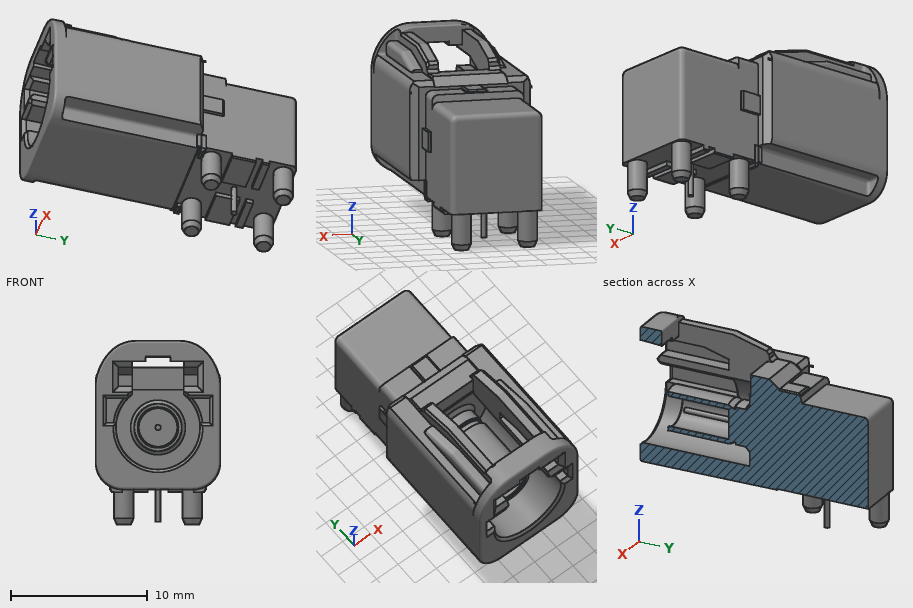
import cadquery as cq
import math


HALF_WIDTH = 9.13 / 2
LENGTH = 18.85
SHELL_LENGTH = 11.5
OVERLAP = 0.3
CLEAR = 1.0
PICK = 0.1

FLANGE_THICKNESS = 0.85
FLANGE_TOP = 6.35
FLANGE_TOP_HALF = 1.58
FLANGE_CORNER = 2.66
SHELL_SIDE_TOP = 3.33
BOTTOM = -4.55
BOTTOM_CORNER = 2.0
FRONT_EDGE = 0.2
CROSSBAR_DEPTH = 1.79
CROSSBAR_HALF = 2.77
CROSSBAR_EDGE = 0.12
FLANGE_REAR_FILLET = 0.25

PANEL_TOP = 4.2
PANEL_HALF = 4.25
PANEL_CORNER_MIDDLE = (4.47, 3.86)
PLATFORM_TOP = 4.39
PLATFORM_HALF = 2.77
PLATFORM_EDGE = 0.12
PLATFORM_SLOPE = (0.82, 0.65)
PANEL_CHAMFER = 0.4
SIDE_CHAMFER = (0.6, 0.4)
KEEL_HALF = 3.3
KEEL_TOP = -3.15
KEEL_REAR_BOTTOM = -4.45
KEEL_REAR_EDGE = 0.2

WINDOW_HALF = 1.9
RAIL_OUTER = 2.77
RAIL_TOP = 5.95
RAIL_SLOPE_START = 6.25
RAIL_REAR_TOP = (9.05, 5.2)
RAIL_REAR = 9.27
RAIL_REAR_EDGE = 4.95
RAIL_FOOT = 0.25
RAIL_EDGE = 0.18
RIB_OUTER = 3.6
RIB_TOP = 5.2
RIB_SLOPE_START = 4.83
RIB_END = 7.95
RIB_EDGE = 0.35

BORE_DIA = 6.15
BORE_MOUTH_DIA = 6.56
BORE_MOUTH_DEPTH = 0.2
BORE_DEPTH = 9.02
WINDOW_REAR = 9.12
WINDOW_LEDGE = 2.77
WINDOW_CEILING = 4.83
NOTCH_HALF = 0.9
NOTCH_TOP = 5.22
NOTCH_REAR_TOP = 5.12
LIP_DEPTH = 0.3
POCKET_HALF = 3.32
POCKET_FLOOR = 2.58
POCKET_INSET = 0.42
POCKET_DEPTH = 5.95
POCKET_END_TOP = 3.85
POCKET_SLOPE_START = 3.9
KEY_HALF = 4.0
KEY_BOTTOM = 0.12
KEY_TOP = 2.37
KEY_INSET = 0.22

TUBE_FRONT = 2.3
TUBE_DIA = 3.5
TUBE_SHOULDER = 7.29
GROOVE_DIA = 3.1
GROOVE_START = 7.74
GROOVE_END = 7.88
COLLAR_DIA = 3.4
FLARE_START = 8.71
FLARE_DIA = 4.0
LUMEN_DIA = 2.8
LUMEN_MOUTH_DIA = 3.0
LUMEN_DEPTH = 5.0
CONTACT_DIA = 0.4
CONTACT_LENGTH = 4.0

HOUSING_HALF = 3.47
HOUSING_TOP = 3.0
HOUSING_BOTTOM = -4.36
HOUSING_EDGE = 0.5
HOUSING_REAR_EDGE = 0.4
STEP_TOP = 3.52
STEP_REAR = 13.26
STEP_LEAN = 0.14
PAD_REAR = 13.2
PAD_EDGE = 0.12
TOP_PAD_HALF = 0.77
TOP_PAD_TOP = 3.73
SIDE_PAD_HALF = 3.7
SIDE_PAD_HEIGHT = 1.46

FOOT_BOTTOM = -4.72
FOOT_INNER = 0.74
FOOT_EDGE = 0.1
FOOT_SPANS = [(13.88, 15.7), (16.19, 16.72)]
CORNER_FOOT_INNER = 2.6
CORNER_FOOT_OUTER = 3.52
CORNER_FOOT_REAR = 11.87
CORNER_FOOT_EDGE = 0.2
PIN_DIA = 1.44
PIN_X = 2.5
PIN_ROWS = [12.55, 18.05]
PIN_BOTTOM = -7.1
PIN_TIP_CHAMFER = (0.45, 0.2)
SIGNAL_PIN_DIA = 0.4
SIGNAL_PIN_Y = 15.05
SIGNAL_PIN_BOTTOM = -6.9


def box(x0, x1, y0, y1, z0, z1):
    """Box between two opposite corners."""
    return cq.Workplane("XY").box(x1 - x0, y1 - y0, z1 - z0, centered=False).translate((x0, y0, z0))


def side_prism(points, x0, x1):
    """Closed polygon of (Y, Z) points, extruded from x0 to x1."""
    return cq.Workplane("YZ", origin=(x0, 0, 0)).polyline(points).close().extrude(x1 - x0)


def front_plane(y):
    """Plane facing -Y at the given Y, with local axes X and Z."""
    return cq.Workplane("XZ", origin=(0, y, 0))


def both_sides(body):
    """The body together with its mirror image about X = 0."""
    return body.union(body.mirror("YZ"))


def revolve_about_axis(points):
    """Closed polygon of (radius, Y) points, turned about the mating axis."""
    return cq.Workplane("XY").polyline(points).close().revolve(360, (0, 0, 0), (0, 1, 0))


def close_below(outline):
    """Close a right half outline: down the side, around the bottom corner and back along X = 0."""
    return (
        outline.lineTo(HALF_WIDTH, BOTTOM + BOTTOM_CORNER)
        .radiusArc((HALF_WIDTH - BOTTOM_CORNER, BOTTOM), BOTTOM_CORNER)
        .lineTo(0, BOTTOM).close()
    )


def make_flange():
    diagonal = math.sqrt(0.5)
    center_z = FLANGE_TOP - FLANGE_CORNER
    shoulder = (FLANGE_TOP_HALF + FLANGE_CORNER * diagonal, center_z + FLANGE_CORNER * diagonal)
    lower_radius = (HALF_WIDTH - shoulder[0]) / (1 - diagonal)
    side_top = shoulder[1] - lower_radius * diagonal
    outline = (
        front_plane(0).moveTo(0, FLANGE_TOP).lineTo(FLANGE_TOP_HALF, FLANGE_TOP)
        .radiusArc(shoulder, FLANGE_CORNER)
        .radiusArc((HALF_WIDTH, side_top), lower_radius)
    )
    full = both_sides(close_below(outline).extrude(-CROSSBAR_DEPTH))
    full = full.faces("<Y").edges().fillet(FRONT_EDGE)
    full = full.faces(">Y").edges().fillet(CROSSBAR_EDGE)
    beside_bar = box(
        CROSSBAR_HALF, HALF_WIDTH + CLEAR, FLANGE_THICKNESS, CROSSBAR_DEPTH + CLEAR,
        PANEL_TOP, FLANGE_TOP + CLEAR,
    )
    beside_bar = beside_bar.edges("<Y and (<X or <Z)").fillet(FLANGE_REAR_FILLET)
    below_bar = box(
        -HALF_WIDTH - CLEAR, HALF_WIDTH + CLEAR, FLANGE_THICKNESS, CROSSBAR_DEPTH + CLEAR,
        BOTTOM - CLEAR, PANEL_TOP,
    )
    return full.cut(both_sides(beside_bar)).cut(below_bar)


def make_shell():
    outline = (
        front_plane(FLANGE_THICKNESS).moveTo(0, PANEL_TOP).lineTo(PANEL_HALF, PANEL_TOP)
        .threePointArc(PANEL_CORNER_MIDDLE, (HALF_WIDTH, SHELL_SIDE_TOP))
    )
    shell = both_sides(close_below(outline).extrude(FLANGE_THICKNESS - SHELL_LENGTH))
    under_side = box(
        KEEL_HALF, HALF_WIDTH + CLEAR, FLANGE_THICKNESS, SHELL_LENGTH + CLEAR, BOTTOM - CLEAR, KEEL_TOP
    )
    under_side = under_side.edges("(<Y and (<X or >Z)) or (<X and >Z)").fillet(FLANGE_REAR_FILLET)
    under_keel = side_prism(
        [(FLANGE_THICKNESS, BOTTOM), (SHELL_LENGTH - KEEL_REAR_EDGE, KEEL_REAR_BOTTOM),
         (SHELL_LENGTH, KEEL_REAR_BOTTOM + KEEL_REAR_EDGE), (SHELL_LENGTH, BOTTOM)],
        -HALF_WIDTH, HALF_WIDTH,
    )
    shell = shell.cut(both_sides(under_side)).cut(under_keel)
    rear_side = (
        cq.Workplane("XY", origin=(0, 0, KEEL_TOP))
        .moveTo(HALF_WIDTH, SHELL_LENGTH - SIDE_CHAMFER[1])
        .lineTo(HALF_WIDTH - SIDE_CHAMFER[0], SHELL_LENGTH)
        .lineTo(HALF_WIDTH, SHELL_LENGTH).close().extrude(PANEL_TOP - KEEL_TOP)
    )
    rear_top = side_prism(
        [(SHELL_LENGTH - PANEL_CHAMFER, PANEL_TOP), (SHELL_LENGTH, PANEL_TOP - PANEL_CHAMFER),
         (SHELL_LENGTH, PANEL_TOP)],
        -HALF_WIDTH, HALF_WIDTH,
    )
    return shell.cut(both_sides(rear_side)).cut(rear_top)


def make_platform():
    platform = box(-PLATFORM_HALF, PLATFORM_HALF, OVERLAP, SHELL_LENGTH, 0, PLATFORM_TOP)
    return platform.edges("|Y and >Z").chamfer(PLATFORM_EDGE)


def make_platform_slope():
    """Wedge removed from the rear top edge between the side panels."""
    return side_prism(
        [(SHELL_LENGTH - PLATFORM_SLOPE[0], PLATFORM_TOP),
         (SHELL_LENGTH, PLATFORM_TOP - PLATFORM_SLOPE[1]), (SHELL_LENGTH, PLATFORM_TOP)],
        -PLATFORM_HALF, PLATFORM_HALF,
    )


def make_rails():
    profile = [
        (OVERLAP, 0), (OVERLAP, RAIL_TOP), (RAIL_SLOPE_START, RAIL_TOP), RAIL_REAR_TOP,
        (RAIL_REAR, RAIL_REAR_EDGE), (RAIL_REAR, PLATFORM_TOP + RAIL_FOOT),
        (RAIL_REAR + RAIL_FOOT, PLATFORM_TOP), (RAIL_REAR + RAIL_FOOT, 0),
    ]
    rail = side_prism(profile, WINDOW_HALF, RAIL_OUTER)
    top_edges = cq.selectors.BoxSelector(
        (RAIL_OUTER - PICK, CROSSBAR_DEPTH, RAIL_REAR_EDGE), (RAIL_OUTER + PICK, RAIL_REAR, FLANGE_TOP)
    )
    return both_sides(rail.edges(top_edges).chamfer(RAIL_EDGE))


def make_ribs():
    profile = [
        (OVERLAP, 0), (OVERLAP, RIB_TOP), (RIB_SLOPE_START, RIB_TOP), (RIB_END, PLATFORM_TOP), (RIB_END, 0)
    ]
    rib = side_prism(profile, WINDOW_HALF, RIB_OUTER)
    top_edges = cq.selectors.BoxSelector(
        (RIB_OUTER - PICK, 0, PLATFORM_TOP), (RIB_OUTER + PICK, RIB_END, FLANGE_TOP)
    )
    return both_sides(rib.edges(top_edges).fillet(RIB_EDGE))


def make_lip(half, z0, z1, inset):
    """Tapered mouth of a wide slot, symmetric about X = 0."""
    middle = (z0 + z1) / 2
    return (
        front_plane(0).center(0, middle).rect(2 * half, z1 - z0)
        .workplane(offset=-LIP_DEPTH).rect(2 * (half - inset), z1 - z0 - 2 * inset).loft()
    )


def make_cavity():
    bore_r = BORE_DIA / 2
    cavity = revolve_about_axis(
        [(0, 0), (BORE_MOUTH_DIA / 2, 0), (bore_r, BORE_MOUTH_DEPTH), (bore_r, BORE_DEPTH), (0, BORE_DEPTH)]
    )
    half = WINDOW_HALF
    cavity = cavity.union(box(-half, half, 0, BORE_DEPTH, 0, WINDOW_CEILING))
    cavity = cavity.union(box(-half, half, CROSSBAR_DEPTH, WINDOW_REAR, WINDOW_LEDGE, FLANGE_TOP + CLEAR))
    notch = side_prism(
        [(0, 0), (0, NOTCH_TOP), (CROSSBAR_DEPTH, NOTCH_REAR_TOP), (CROSSBAR_DEPTH, 0)],
        -NOTCH_HALF, NOTCH_HALF,
    )
    cavity = cavity.union(notch)

    pocket_half = POCKET_HALF - POCKET_INSET
    floor = POCKET_FLOOR + POCKET_INSET
    ceiling = WINDOW_CEILING - POCKET_INSET
    pocket = side_prism(
        [(0, floor), (POCKET_DEPTH, floor), (POCKET_DEPTH, POCKET_END_TOP),
         (POCKET_SLOPE_START, ceiling), (0, ceiling)],
        -pocket_half, pocket_half,
    )
    cavity = cavity.union(pocket).union(make_lip(POCKET_HALF, POCKET_FLOOR, WINDOW_CEILING, POCKET_INSET))

    key_half = KEY_HALF - KEY_INSET
    key = box(-key_half, key_half, 0, POCKET_DEPTH, KEY_BOTTOM + KEY_INSET, KEY_TOP - KEY_INSET)
    mouth_r = BORE_MOUTH_DIA / 2
    inner_mouth = revolve_about_axis(
        [(0, POCKET_DEPTH), (mouth_r, POCKET_DEPTH), (bore_r, POCKET_DEPTH + BORE_MOUTH_DEPTH),
         (0, POCKET_DEPTH + BORE_MOUTH_DEPTH)]
    )
    inner_mouth = inner_mouth.intersect(
        box(-key_half, key_half, 0, BORE_DEPTH, KEY_BOTTOM + KEY_INSET, KEY_TOP - KEY_INSET)
    )
    cavity = cavity.union(inner_mouth)
    return cavity.union(key).union(make_lip(KEY_HALF, KEY_BOTTOM, KEY_TOP, KEY_INSET))


def make_contact():
    tube_r = TUBE_DIA / 2
    lumen_r = LUMEN_DIA / 2
    mouth_r = LUMEN_MOUTH_DIA / 2
    lumen_end = TUBE_FRONT + LUMEN_DEPTH
    base = BORE_DEPTH + OVERLAP
    tube = revolve_about_axis([
        (0, lumen_end), (lumen_r, lumen_end), (lumen_r, TUBE_FRONT + mouth_r - lumen_r),
        (mouth_r, TUBE_FRONT), (tube_r, TUBE_FRONT), (tube_r, TUBE_SHOULDER),
        (GROOVE_DIA / 2, GROOVE_START), (GROOVE_DIA / 2, GROOVE_END), (COLLAR_DIA / 2, GROOVE_END),
        (COLLAR_DIA / 2, FLARE_START), (FLARE_DIA / 2, BORE_DEPTH), (FLARE_DIA / 2, base), (0, base),
    ])
    pin = front_plane(lumen_end).circle(CONTACT_DIA / 2).extrude(CONTACT_LENGTH)
    pin = pin.faces("<Y").edges().fillet(CONTACT_DIA / 4)
    return tube.union(pin)


def make_housing():
    start = SHELL_LENGTH - OVERLAP
    housing = box(-HOUSING_HALF, HOUSING_HALF, start, LENGTH, HOUSING_BOTTOM, HOUSING_TOP)
    housing = housing.edges("|Y and >Z").fillet(HOUSING_EDGE)
    housing = housing.faces(">Y").edges("not <Z").fillet(HOUSING_REAR_EDGE)
    step = side_prism(
        [(start, 0), (start, STEP_TOP), (STEP_REAR, STEP_TOP),
         (STEP_REAR + STEP_LEAN, HOUSING_TOP), (STEP_REAR + STEP_LEAN, 0)],
        -HOUSING_HALF, HOUSING_HALF,
    )
    return housing.union(step.edges("|Y and >Z").fillet(HOUSING_EDGE))


def make_pads():
    start = SHELL_LENGTH - OVERLAP
    top = box(-TOP_PAD_HALF, TOP_PAD_HALF, start, PAD_REAR, 0, TOP_PAD_TOP)
    side = box(
        -SIDE_PAD_HALF, SIDE_PAD_HALF, start, PAD_REAR, -SIDE_PAD_HEIGHT / 2, SIDE_PAD_HEIGHT / 2
    )
    top = top.edges(">Z and (not <Y)").chamfer(PAD_EDGE)
    side = side.edges("|Z and >Y").chamfer(PAD_EDGE)
    return top.union(side)


def make_feet():
    feet = box(
        CORNER_FOOT_INNER, CORNER_FOOT_OUTER, SHELL_LENGTH, CORNER_FOOT_REAR, FOOT_BOTTOM, KEEL_TOP
    )
    feet = feet.edges("<Z and (>X or >Y)").chamfer(CORNER_FOOT_EDGE)
    for y0, y1 in FOOT_SPANS:
        foot = box(FOOT_INNER, HOUSING_HALF, y0, y1, FOOT_BOTTOM, HOUSING_BOTTOM + OVERLAP)
        feet = feet.union(foot.edges(">X and <Z").chamfer(FOOT_EDGE))
    return both_sides(feet)


def make_pins():
    top = HOUSING_BOTTOM + OVERLAP
    spots = [(x, y) for x in (-PIN_X, PIN_X) for y in PIN_ROWS]
    pins = cq.Workplane("XY", origin=(0, 0, PIN_BOTTOM)).pushPoints(spots).circle(PIN_DIA / 2)
    pins = pins.extrude(top - PIN_BOTTOM)
    pins = pins.faces("<Z").edges().chamfer(*PIN_TIP_CHAMFER)
    signal = cq.Workplane("XY", origin=(0, SIGNAL_PIN_Y, SIGNAL_PIN_BOTTOM)).circle(SIGNAL_PIN_DIA / 2)
    return pins.union(signal.extrude(top - SIGNAL_PIN_BOTTOM))


shell = make_shell().union(make_platform()).cut(make_platform_slope())
shell = shell.union(make_flange()).union(make_rails()).union(make_ribs()).cut(make_cavity())
housing = make_housing().union(make_pads()).union(make_feet()).union(make_pins())
result = shell.union(make_contact()).union(housing)